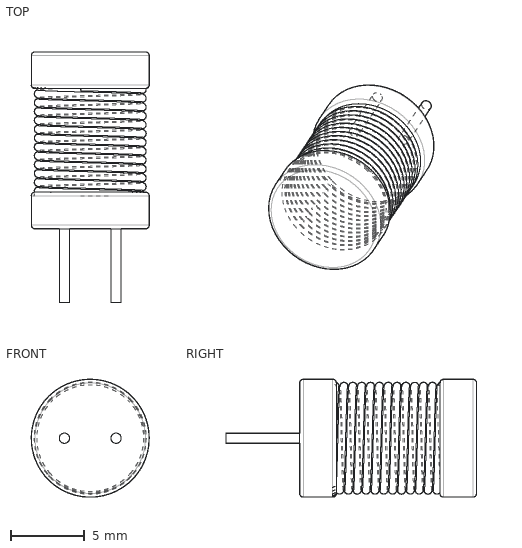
import cadquery as cq

TOTAL_LENGTH = 17.0
FLANGE_DIAMETER = 8.0
FLANGE_THICKNESS = 2.5
FLANGE_EDGE_RADIUS = 0.25
PIN_LENGTH = 5.0
PIN_DIAMETER = 0.7
PIN_SPACING = 3.5
CORE_DIAMETER = 7.25
COIL_DIAMETER = 7.6
WIRE_DIAMETER = 0.56
TURN_COUNT = 12.3
COIL_START_DEPTH = 0.25
COIL_END_DEPTH = 0.12
COIL_START_ANGLE = 98

body_length = TOTAL_LENGTH - PIN_LENGTH
coil_start = FLANGE_THICKNESS - COIL_START_DEPTH
core_length = body_length - 2 * FLANGE_THICKNESS
coil_length = core_length + COIL_START_DEPTH + COIL_END_DEPTH
turn_pitch = coil_length / TURN_COUNT
helix_radius = (COIL_DIAMETER - WIRE_DIAMETER) / 2


def cylinder(diameter, start, length, x=0.0):
    """Cylinder along +Y that begins at Y = start."""
    base = cq.Workplane("XZ", origin=(x, start, 0))
    return base.circle(diameter / 2).extrude(-length)


def flange(start):
    """End disc with both rims rounded."""
    disc = cylinder(FLANGE_DIAMETER, start, FLANGE_THICKNESS)
    return disc.edges("%CIRCLE").fillet(FLANGE_EDGE_RADIUS)


def pin(x):
    """Straight lead, rooted halfway into the flange."""
    return cylinder(PIN_DIAMETER, -PIN_LENGTH, PIN_LENGTH + FLANGE_THICKNESS / 2, x)


def winding():
    """Left-handed coil of round wire whose two ends run into the flanges."""
    path = cq.Wire.makeHelix(
        turn_pitch,
        coil_length,
        helix_radius,
        center=cq.Vector(0, coil_start, 0),
        dir=cq.Vector(0, 1, 0),
        lefthand=True,
    )
    section = cq.Workplane("YZ", origin=path.startPoint()).circle(WIRE_DIAMETER / 2)
    coil = section.sweep(cq.Workplane(obj=path), isFrenet=True)
    return coil.rotate((0, 0, 0), (0, 1, 0), COIL_START_ANGLE)


core = cylinder(CORE_DIAMETER, FLANGE_THICKNESS / 2, core_length + FLANGE_THICKNESS)
result = core.union(winding())
for flange_start in (0, body_length - FLANGE_THICKNESS):
    result = result.union(flange(flange_start))
for side in (-1, 1):
    result = result.union(pin(side * PIN_SPACING / 2))